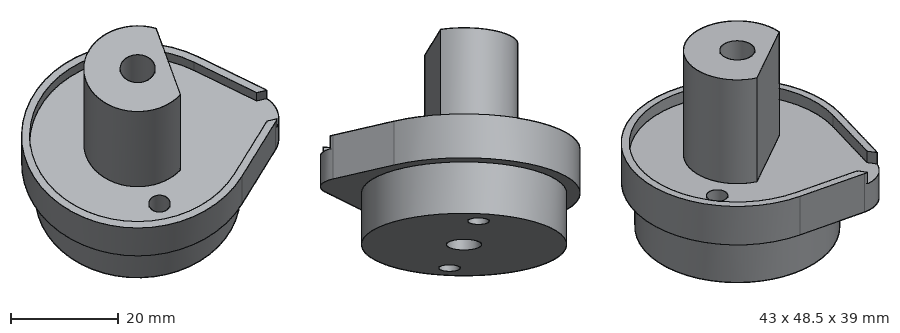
import cadquery as cq
import math

base_diameter = 38.0
base_height = 10.0

flange_diameter = 43.0
flange_radius = flange_diameter / 2
flange_height = 8.55
nose_radius = 6.0
overall_length = 48.5
nose_center_y = overall_length - flange_radius - nose_radius

rim_width = 1.5
recess_depth = 2.5
nose_gap_width = 6.9

shaft_diameter = 20.0
shaft_flat_y = 5.9
overall_height = 39.0

bore_diameter = 6.5
side_hole_diameter = 4.0
side_hole_offset = 14.5

flange_top = base_height + flange_height
recess_floor = flange_top - recess_depth


def teardrop(large_radius, small_radius, bottom, height):
    """Solid teardrop whose straight sides are tangent to both circles."""
    normal_y = (large_radius - small_radius) / nose_center_y
    normal_x = math.sqrt(1 - normal_y**2)
    large_x = large_radius * normal_x
    large_y = large_radius * normal_y
    small_x = small_radius * normal_x
    small_y = nose_center_y + small_radius * normal_y
    return (
        cq.Workplane("XY")
        .workplane(offset=bottom)
        .moveTo(large_x, large_y)
        .lineTo(small_x, small_y)
        .threePointArc((0, nose_center_y + small_radius), (-small_x, small_y))
        .lineTo(-large_x, large_y)
        .threePointArc((0, -large_radius), (large_x, large_y))
        .close()
        .extrude(height)
    )


def recess():
    """Inset teardrop pocket together with the gap through the rim at the nose."""
    pocket = teardrop(
        flange_radius - rim_width, nose_radius - rim_width, recess_floor, recess_depth
    )
    nose_gap = (
        cq.Workplane("XY")
        .workplane(offset=recess_floor)
        .center(0, nose_center_y)
        .rect(nose_gap_width, 2 * nose_radius)
        .extrude(recess_depth)
    )
    return pocket.union(nose_gap)


def shaft():
    """Round shaft cut flat on its +Y side."""
    radius = shaft_diameter / 2
    flat_half_width = math.sqrt(radius**2 - shaft_flat_y**2)
    return (
        cq.Workplane("XY")
        .workplane(offset=recess_floor)
        .moveTo(flat_half_width, shaft_flat_y)
        .lineTo(-flat_half_width, shaft_flat_y)
        .threePointArc((0, -radius), (flat_half_width, shaft_flat_y))
        .close()
        .extrude(overall_height - recess_floor)
    )


def through_holes():
    """Central bore and the two side holes."""
    bore = cq.Workplane("XY").circle(bore_diameter / 2).extrude(overall_height)
    side_holes = (
        cq.Workplane("XY")
        .pushPoints([(-side_hole_offset, 0), (side_hole_offset, 0)])
        .circle(side_hole_diameter / 2)
        .extrude(overall_height)
    )
    return bore.union(side_holes)


base = cq.Workplane("XY").circle(base_diameter / 2).extrude(base_height)
flange = teardrop(flange_radius, nose_radius, base_height, flange_height)
result = base.union(flange).cut(recess()).union(shaft()).cut(through_holes())